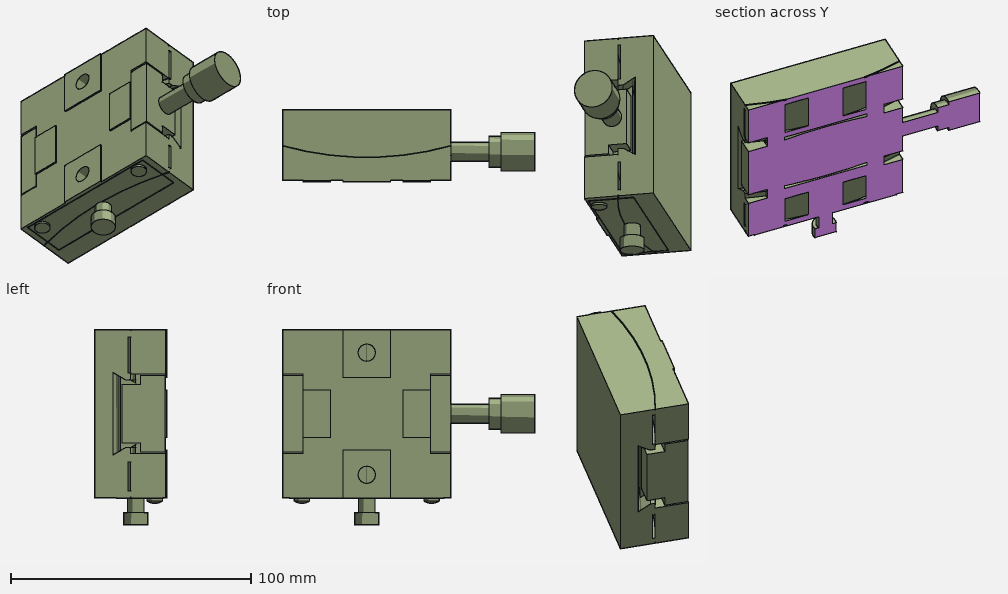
import cadquery as cq


overall_length = 105.0
overall_depth = 30.0
overall_height = 81.3
body_side = 70.0
pad_height = 0.6
body_depth = overall_depth - pad_height
half_side = body_side / 2

pad_side = 20.0
pad_inner = 15.0
hole_radius = 3.6
hole_height = 25.4

arc_radius = 129.2
slide_thickness = 9.6
arc_axis_y = slide_thickness + arc_radius
seam_width = 0.2
seam_depth = 0.4
scale_groove_depth = 1.0
scale_groove_spans = ((16.9, 32.0), (-32.2, -20.1))

tail_neck = 12.8
tail_root = 17.1
lip_half = 14.1
groove_depth = 7.0
tail_clearance = 0.8
lip_depth = groove_depth * (lip_half - tail_neck) / (tail_root - tail_neck)

pocket_length = 8.5
plate_half = 16.0
plate_gap = 0.6
plate_setback = 0.2
plate_step_y = 10.3
plate_back_y = 18.0
plate_tongue_half = 12.1
pocket_half = plate_half + plate_gap
pocket_x = half_side - pocket_length

drive_y = 11.9
drive_sections = ((8.0, 50.8), (13.0, 55.9), (16.2, overall_length - half_side))

lock_y = 12.3
lock_shank_radius = 3.5
lock_head_radius = 5.0
lock_head_height = 5.1
lock_length = overall_height - body_side
strip_length = 64.3
strip_front_y = 1.0
strip_back_y = 20.4
strip_thickness = 0.3
strip_screw_x = 27.0
strip_screw_y = 4.4
strip_screw_radius = 3.3
strip_screw_rim = 1.3
strip_screw_height = 2.3


def block(x_span, y_span, z_span):
    """Box between two limits on each axis."""
    size = [span[1] - span[0] for span in (x_span, y_span, z_span)]
    return cq.Workplane("XY").box(*size, centered=False).translate((x_span[0], y_span[0], z_span[0]))


def arc_ring(profile):
    """Ring about the arc axis; profile points are (depth behind the arc, z)."""
    points = [(arc_radius - depth, z) for depth, z in profile]
    ring = cq.Workplane("XZ").polyline(points).close().revolve(360, (0, 0), (0, 1))
    return ring.translate((0, arc_axis_y, 0))


def arc_band(depth_span, z_span):
    """Ring of rectangular section."""
    (d0, d1), (z0, z1) = depth_span, z_span
    return arc_ring([(d0, z0), (d1, z0), (d1, z1), (d0, z1)])


def mirrored_in_z(profile):
    """Close an upper half profile with its reflection below z = 0."""
    return profile + [(depth, -z) for depth, z in reversed(profile)]


def end_pockets():
    """Clear the slide and its dovetail away at both ends, leaving the groove of the base."""
    opening = arc_ring(mirrored_in_z([
        (-body_depth, pocket_half),
        (0, pocket_half),
        (0, lip_half),
        (lip_depth, lip_half),
        (groove_depth, tail_root),
    ]))
    ends = cq.Workplane("XY").box(body_side, 2 * body_depth, body_side)
    ends = ends.cut(cq.Workplane("XY").box(2 * pocket_x, 2 * body_depth, body_side))
    return ends.translate((0, body_depth / 2, 0)).intersect(opening)


def dovetail_gaps():
    """Clearance behind the dovetail and beside its neck, along the whole arc."""
    tail_depth = groove_depth - tail_clearance
    tail_half = tail_neck + (tail_root - tail_neck) * tail_depth / groove_depth
    gaps = arc_ring(mirrored_in_z([(tail_depth, tail_half), (groove_depth, tail_root)]))
    for side in (1, -1):
        neck_gap = [(0, side * tail_neck), (0, side * lip_half), (lip_depth, side * lip_half)]
        gaps = gaps.add(arc_ring(neck_gap))
    return gaps.combine()


def end_plate(side):
    """Stepped end plate with its tongue reaching back into the dovetail groove."""
    x_span = sorted((side * pocket_x, side * half_side))
    plate = block(x_span, (plate_setback, plate_step_y), (-plate_half, plate_half))
    tongue = block(x_span, (plate_step_y, plate_back_y), (-plate_tongue_half, plate_tongue_half))
    return plate.union(tongue)


def mounting_pads():
    """Four raised pads around the centre of the front face."""
    pads = cq.Workplane("XY")
    across = (-pad_side / 2, pad_side / 2)
    for side in (1, -1):
        pads = pads.add(block(across, (-pad_height, 0), sorted((side * pad_inner, side * half_side))))
        pads = pads.add(block(sorted((side * pad_inner, side * pocket_x)), (-pad_height, 0), across))
    return pads.combine()


def drive_knob():
    """Shaft, collar and knob in line along +X."""
    knob = cq.Workplane("XY")
    start = pocket_x
    for diameter, end in drive_sections:
        section = cq.Workplane("YZ", origin=(start, drive_y, 0)).circle(diameter / 2).extrude(end - start)
        knob = knob.add(section)
        start = end
    return knob.combine()


def lock_screw():
    """Cylindrical head on a shank pointing down."""
    bottom = cq.Workplane("XY", origin=(0, lock_y, -half_side - lock_length))
    head = bottom.circle(lock_head_radius).extrude(lock_head_height)
    return head.union(bottom.circle(lock_shank_radius).extrude(lock_length))


def strip_screw(x):
    """Domed screw head hanging below the underside."""
    dome_height = strip_screw_height - strip_screw_rim
    dome_radius = (strip_screw_radius**2 + dome_height**2) / (2 * dome_height)
    mid_radius = strip_screw_radius / 2
    mid_drop = (dome_radius**2 - mid_radius**2) ** 0.5 - dome_radius + strip_screw_height
    head = (
        cq.Workplane("XZ")
        .lineTo(strip_screw_radius, 0)
        .lineTo(strip_screw_radius, -strip_screw_rim)
        .threePointArc((mid_radius, -mid_drop), (0, -strip_screw_height))
        .close()
        .revolve(360, (0, 0), (0, 1))
    )
    return head.translate((x, strip_screw_y, -half_side))


half_span = (-half_side, half_side)
result = block(half_span, (0, body_depth), half_span).union(mounting_pads())

result = result.cut(end_pockets(), clean=False).cut(dovetail_gaps(), clean=False)
for groove_span in scale_groove_spans:
    result = result.cut(arc_band((0, scale_groove_depth), groove_span), clean=False)
for side in (1, -1):
    seam_span = sorted((side * (half_side - seam_depth), side * half_side))
    result = result.cut(arc_band((-seam_width / 2, seam_width / 2), seam_span), clean=False)

hole_depth = pad_height + slide_thickness
for side in (1, -1):
    hole_start = cq.Workplane("XZ", origin=(0, -pad_height, side * hole_height))
    result = result.cut(hole_start.circle(hole_radius).extrude(-hole_depth), clean=False)

for side in (1, -1):
    result = result.union(end_plate(side), clean=False)
result = result.union(drive_knob(), clean=False).union(lock_screw(), clean=False)
strip_x_span = (-strip_length / 2, strip_length / 2)
strip_z_span = (-half_side - strip_thickness, -half_side)
result = result.union(block(strip_x_span, (strip_front_y, strip_back_y), strip_z_span), clean=False)
for side in (1, -1):
    result = result.union(strip_screw(side * strip_screw_x), clean=False)